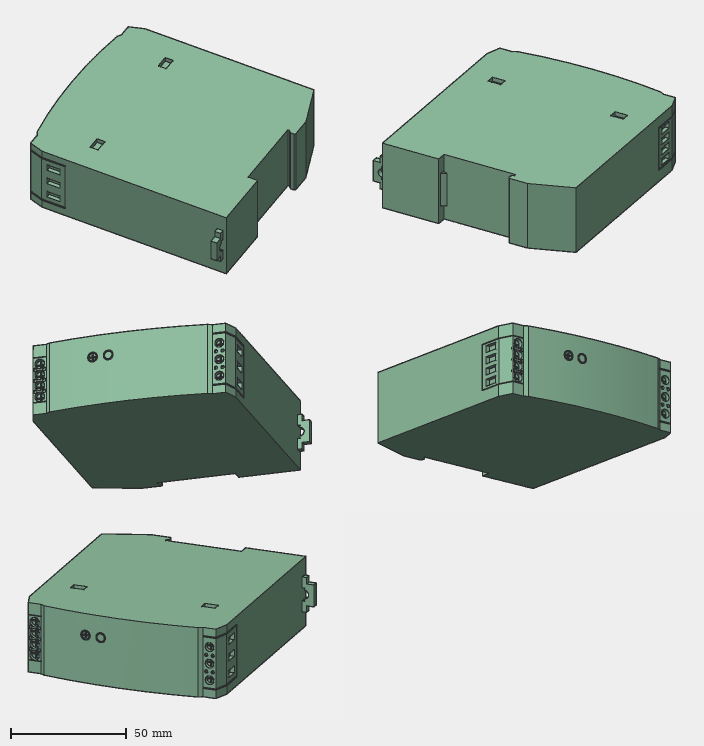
import cadquery as cq
import math

LENGTH = 101.7
HEIGHT = 92.0
WIDTH = 32.0
MID_Y = HEIGHT / 2
MID_Z = WIDTH / 2

SHOULDER_X = 4.0
SHOULDER_Y = 2.3
CHAMFER_END_X = 11.0
FLANK_END_X = 22.3
PANEL_FOOT_Y = 8.3
PANEL_EDGE_Y = 10.2
PANEL_RADIUS = 237.0

RAIL_X = 97.0
RAIL_BOTTOM_Y = 28.1
LIP_X = 101.3
LIP_TOP_Y = 71.9
LIP_BASE_Y = 63.6
LIP_TIP_Y = 62.3
LIP_TIP_START_X = 99.0
LIP_CHAMFER = 0.6
BACK_SLOPE_X = 94.2

RING_OUTER_D = 4.5
RING_INNER_D = 3.5
RING_RAISE = 0.2
RING_Z = MID_Z + 6.1
ADJUSTER_Y = 61.6
LAMP_Y = 54.4
ADJUSTER_SLOT_LENGTH = 2.2
ADJUSTER_SLOT_WIDTH = 0.5
ADJUSTER_SLOT_DEPTH = 0.3

BLOCK_INSET = 0.1
SCREW_DEPTH = 2.0
SCREW_OFFSET_Z = -0.3
SCREW_SLOT_WIDTH = 0.5
SCREW_SLOT_DEPTH = 0.5
TEST_HOLE_DEPTH = 1.0
GROOVE_DEPTH = 0.4
WINDOW_LENGTH = 6.3
WINDOW_WIDTH = 3.2
WINDOW_CENTRE_X = 16.5
WINDOW_DEPTH = 2.0

LOWER_BLOCK_WIDTH = 23.8
LOWER_POLES = 3
LOWER_PITCH = 7.6
LOWER_SCREW_Y = 5.3
LOWER_SCREW_D = 4.0
LOWER_TEST_D = 1.4
LOWER_TEST_SPACING = 3.1
LOWER_GROOVE = 0.4

UPPER_BLOCK_WIDTH = 20.7
UPPER_POLES = 4
UPPER_PITCH = 5.1
UPPER_SCREW_Y = HEIGHT - 5.3
UPPER_SCREW_D = 4.3
UPPER_TEST_D = 1.6
UPPER_TEST_SPACING = 4.1
UPPER_GROOVE = 0.1

POCKET_X = 29.7
POCKET_SPACING_Y = 61.0
POCKET_LENGTH_X = 3.9
POCKET_LENGTH_Y = 6.2
POCKET_DEPTH = 2.0

CLIP_X = 97.2
CLIP_THICKNESS = 2.8
CLIP_WIDTH = 16.1
CLIP_SHOULDER = 2.1
CLIP_TAB_WIDTH = 10.2
CLIP_TAB_END = 5.5
CLIP_NOTCH_WIDTH = 6.1
CLIP_NOTCH_DEPTH = 1.2
CLIP_HOLE_D = 4.0
CLIP_HOLE_Y = -1.0
CATCH_START_X = 97.7
CATCH_TIP_X = 98.6
CATCH_END_X = 100.1
CATCH_HEIGHT = 2.4


def box(x0, x1, y0, y1, z0, z1):
    """Box between two limits on each axis."""
    return cq.Workplane("XY").box(x1 - x0, y1 - y0, z1 - z0, centered=False).translate((x0, y0, z0))


def rod(diameter, x0, x1, y, z):
    """Cylinder along X."""
    return cq.Workplane("YZ", origin=(x0, y, z)).circle(diameter / 2).extrude(x1 - x0)


def cross(length, width, x0, x1, y, z):
    """Two crossed bars, extruded along X."""
    plane = cq.Workplane("YZ", origin=(x0, y, z))
    return plane.rect(length, width).extrude(x1 - x0).union(plane.rect(width, length).extrude(x1 - x0))


def panel_rise(distance):
    """How far the crowned panel falls back at a distance from its crest."""
    return PANEL_RADIUS - math.sqrt(PANEL_RADIUS**2 - distance**2)


CREST_X = RING_RAISE - panel_rise(LAMP_Y - RING_OUTER_D / 2 - MID_Y)
PANEL_EDGE_X = CREST_X + panel_rise(MID_Y - PANEL_EDGE_Y)


def pole_places(count, pitch):
    """Z places of a terminal block's poles, centred on the housing."""
    return [MID_Z + (i - (count - 1) / 2) * pitch for i in range(count)]


def housing():
    """Housing outline in the XY plane, extruded across the width."""
    return (
        cq.Workplane("XY")
        .moveTo(CHAMFER_END_X, 0)
        .lineTo(LENGTH, 0)
        .lineTo(LENGTH, RAIL_BOTTOM_Y)
        .lineTo(RAIL_X, RAIL_BOTTOM_Y)
        .lineTo(RAIL_X, LIP_BASE_Y)
        .lineTo(LIP_TIP_START_X - (LIP_BASE_Y - LIP_TIP_Y), LIP_BASE_Y)
        .lineTo(LIP_TIP_START_X, LIP_TIP_Y)
        .lineTo(LIP_X - LIP_CHAMFER, LIP_TIP_Y)
        .lineTo(LIP_X, LIP_TIP_Y + LIP_CHAMFER)
        .lineTo(LIP_X, LIP_TOP_Y)
        .lineTo(BACK_SLOPE_X, HEIGHT)
        .lineTo(CHAMFER_END_X, HEIGHT)
        .lineTo(SHOULDER_X, HEIGHT - SHOULDER_Y)
        .lineTo(SHOULDER_X, HEIGHT - PANEL_FOOT_Y)
        .lineTo(PANEL_EDGE_X, HEIGHT - PANEL_EDGE_Y)
        .threePointArc((CREST_X, MID_Y), (PANEL_EDGE_X, PANEL_EDGE_Y))
        .lineTo(SHOULDER_X, PANEL_FOOT_Y)
        .lineTo(SHOULDER_X, SHOULDER_Y)
        .close()
        .extrude(WIDTH)
    )


def ring(y):
    """Raised ring that follows the crown of the panel."""
    crown_axis_x = CREST_X - RING_RAISE + PANEL_RADIUS
    raised_crown = cq.Workplane("XY", origin=(crown_axis_x, MID_Y, 0)).circle(PANEL_RADIUS).extrude(WIDTH)
    tube = rod(RING_OUTER_D, -1, SHOULDER_X, y, RING_Z).cut(rod(RING_INNER_D, -1, SHOULDER_X, y, RING_Z))
    return tube.intersect(raised_crown)


def adjuster_slot():
    """Cross slot in the panel inside the upper ring."""
    floor_x = CREST_X + panel_rise(ADJUSTER_Y - MID_Y) + ADJUSTER_SLOT_DEPTH
    return cross(ADJUSTER_SLOT_LENGTH, ADJUSTER_SLOT_WIDTH, 0, floor_x, ADJUSTER_Y, RING_Z)


def separating_grooves(block_width, groove_width, y0, y1, flank_shift):
    """Two shallow grooves around the shoulder, chamfer and flank of a terminal block."""
    core = housing().translate((GROOVE_DEPTH, flank_shift * GROOVE_DEPTH, 0))
    grooves = cq.Workplane("XY")
    for side in (-1, 1):
        z = MID_Z + side * block_width / 2
        band = box(SHOULDER_X, FLANK_END_X, y0, y1, z - groove_width / 2, z + groove_width / 2)
        grooves = grooves.union(band.cut(core))
    return grooves


def flank_inset(block_width, y0, y1):
    """Thin slab that sets the flank of a terminal block back from the housing."""
    return box(SHOULDER_X, FLANK_END_X, y0, y1, MID_Z - block_width / 2, MID_Z + block_width / 2)


def screw_recess(diameter, y, z):
    """Bore with a cross-slotted screw head at its floor."""
    floor_x = SHOULDER_X + SCREW_DEPTH
    bore = rod(diameter, SHOULDER_X, floor_x, y, z)
    slot = cross(diameter, SCREW_SLOT_WIDTH, floor_x, floor_x + SCREW_SLOT_DEPTH, y, z)
    head = rod(diameter, floor_x, floor_x + SCREW_SLOT_DEPTH, y, z)
    return bore.union(slot.intersect(head))


def terminal_cuts(count, pitch, screw_d, screw_y, test_d, test_spacing, flank_y):
    """Screws, wire windows and the test holes between the screws."""
    cuts = cq.Workplane("XY")
    places = pole_places(count, pitch)
    for z in places:
        window = cq.Workplane("XY").box(WINDOW_LENGTH, 2 * WINDOW_DEPTH, WINDOW_WIDTH)
        cuts = cuts.union(window.translate((WINDOW_CENTRE_X, flank_y, z)))
        cuts = cuts.union(screw_recess(screw_d, screw_y, z + SCREW_OFFSET_Z))
    for z in places[:-1]:
        hole_z = z + pitch / 2 + SCREW_OFFSET_Z
        for side in (-1, 1):
            y = screw_y + side * test_spacing / 2
            cuts = cuts.union(rod(test_d, SHOULDER_X, SHOULDER_X + TEST_HOLE_DEPTH, y, hole_z))
    return cuts


def latch_pockets():
    """Two shallow rectangular pockets in the upper broad face."""
    return (
        cq.Workplane("XY", origin=(POCKET_X, MID_Y, WIDTH))
        .rarray(1, POCKET_SPACING_Y, 1, 2)
        .rect(POCKET_LENGTH_X, POCKET_LENGTH_Y)
        .extrude(-POCKET_DEPTH)
    )


def centred_bar(width, y0, y1):
    """Bar of the clip's thickness, centred across the housing."""
    return box(CLIP_X, CLIP_X + CLIP_THICKNESS, y0, y1, MID_Z - width / 2, MID_Z + width / 2)


def rail_clip():
    """Stepped pull tab with its tool opening, and the catch in the rail slot."""
    tab = centred_bar(CLIP_WIDTH, -CLIP_SHOULDER, 0).union(centred_bar(CLIP_TAB_WIDTH, -CLIP_TAB_END, 0))
    tab = tab.cut(centred_bar(CLIP_NOTCH_WIDTH, -CLIP_NOTCH_DEPTH, 0))
    tab = tab.cut(rod(CLIP_HOLE_D, CLIP_X, CLIP_X + CLIP_THICKNESS, CLIP_HOLE_Y, MID_Z))
    catch = (
        cq.Workplane("XY", origin=(0, RAIL_BOTTOM_Y, MID_Z))
        .polyline([(CATCH_START_X, 0), (CATCH_TIP_X, CATCH_HEIGHT), (CATCH_END_X, 0)])
        .close()
        .extrude(CLIP_WIDTH / 2, both=True)
    )
    return tab.union(catch)


result = housing().union(ring(ADJUSTER_Y)).union(ring(LAMP_Y)).cut(adjuster_slot())

result = result.cut(flank_inset(LOWER_BLOCK_WIDTH, 0, BLOCK_INSET))
result = result.cut(separating_grooves(LOWER_BLOCK_WIDTH, LOWER_GROOVE, 0, PANEL_FOOT_Y, 1))
result = result.cut(
    terminal_cuts(
        count=LOWER_POLES,
        pitch=LOWER_PITCH,
        screw_d=LOWER_SCREW_D,
        screw_y=LOWER_SCREW_Y,
        test_d=LOWER_TEST_D,
        test_spacing=LOWER_TEST_SPACING,
        flank_y=0,
    )
)

result = result.cut(flank_inset(UPPER_BLOCK_WIDTH, HEIGHT - BLOCK_INSET, HEIGHT))
result = result.cut(separating_grooves(UPPER_BLOCK_WIDTH, UPPER_GROOVE, HEIGHT - PANEL_FOOT_Y, HEIGHT, -1))
result = result.cut(
    terminal_cuts(
        count=UPPER_POLES,
        pitch=UPPER_PITCH,
        screw_d=UPPER_SCREW_D,
        screw_y=UPPER_SCREW_Y,
        test_d=UPPER_TEST_D,
        test_spacing=UPPER_TEST_SPACING,
        flank_y=HEIGHT,
    )
)

result = result.cut(latch_pockets()).union(rail_clip())